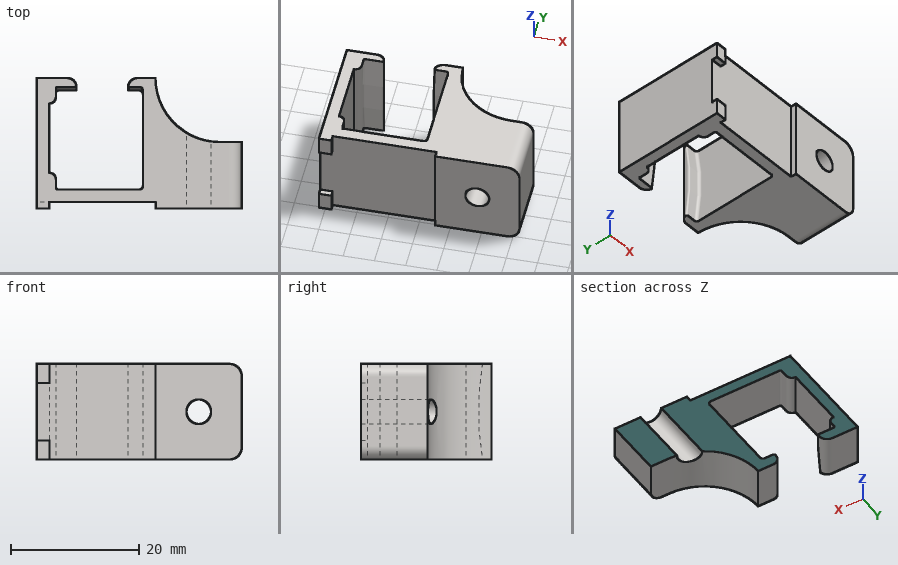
import cadquery as cq

LENGTH = 32.1
DEPTH = 20.41
HEIGHT = 15.0

WALL = 2.0
STEP_X = 18.6
CAVITY_LEFT = 3.05
CAVITY_RIGHT = STEP_X - WALL
CAVITY_FRONT = 3.0
LEFT_CORNER_RADIUS = 0.25
RIGHT_CORNER_RADIUS = 0.5

RECESS_FRONT = 5.6
RECESS_BACK = 16.4
RECESS_ROUND = CAVITY_LEFT - WALL

MOUTH_LEFT = 6.28
MOUTH_WIDTH = 8.0
MOUTH_RIGHT = MOUTH_LEFT + MOUTH_WIDTH
LIP_THICKNESS = 2.0
LIP_MIDDLE_Y = DEPTH - LIP_THICKNESS
LIP_END_Y = 19.0
LIP_OUTER_ROUND = 1.5
LIP_INNER_ROUND = 0.25
LIP_MIDDLE_BOTTOM = HEIGHT / 3
LIP_MIDDLE_TOP = HEIGHT - LIP_MIDDLE_BOTTOM

SWEEP_RADIUS = 10.0
BLOCK_DEPTH = DEPTH - SWEEP_RADIUS
BLOCK_CORNER_RADIUS = 2.0
HOLE_DIAMETER = 3.8
HOLE_X = (STEP_X + LENGTH) / 2

RELIEF_DEPTH = 1.0
FOOT_LENGTH = 2.0
FOOT_HEIGHT = 3.0


def box(x_range, y_range, z_range):
    """Axis-aligned box given by its limits."""
    sizes = [end - start for start, end in (x_range, y_range, z_range)]
    corner = (x_range[0], y_range[0], z_range[0])
    return cq.Workplane("XY").box(*sizes, centered=False).translate(corner)


def make_block():
    """Solid outline with the concave sweep down to the mounting block."""
    sweep_end_x = STEP_X + SWEEP_RADIUS
    block = (
        cq.Workplane("XY")
        .lineTo(LENGTH, 0)
        .lineTo(LENGTH, BLOCK_DEPTH)
        .lineTo(sweep_end_x, BLOCK_DEPTH)
        .radiusArc((STEP_X, DEPTH), SWEEP_RADIUS)
        .lineTo(0, DEPTH)
        .close()
        .extrude(HEIGHT)
    )
    return block.edges("|Y and >X").fillet(BLOCK_CORNER_RADIUS)


def cavity_outline(z, lip_y):
    """Closed cavity outline at height z, reaching back to lip_y."""
    left, right, front = CAVITY_LEFT, CAVITY_RIGHT, CAVITY_FRONT
    small, large = LEFT_CORNER_RADIUS, RIGHT_CORNER_RADIUS
    return (
        cq.Workplane("XY", origin=(0, 0, z))
        .moveTo(left + small, front)
        .lineTo(right - large, front)
        .radiusArc((right, front + large), -large)
        .lineTo(right, lip_y - large)
        .radiusArc((right - large, lip_y), -large)
        .lineTo(left + small, lip_y)
        .radiusArc((left, lip_y - small), -small)
        .lineTo(left, front + small)
        .radiusArc((left + small, front), -small)
        .close()
        .val()
    )


def make_cavity():
    """Straight middle length with a flared length above and below it."""
    stations = [
        (0, LIP_END_Y),
        (LIP_MIDDLE_BOTTOM, LIP_MIDDLE_Y),
        (LIP_MIDDLE_TOP, LIP_MIDDLE_Y),
        (HEIGHT, LIP_END_Y),
    ]
    outlines = [cavity_outline(z, lip_y) for z, lip_y in stations]
    return cq.Workplane(cq.Solid.makeLoft(outlines, True))


def make_recess():
    """Recess in the left wall, widening into the cavity with rounded shoulders."""
    return (
        cq.Workplane("XY")
        .moveTo(WALL, RECESS_FRONT)
        .radiusArc((CAVITY_LEFT, RECESS_FRONT - RECESS_ROUND), RECESS_ROUND)
        .lineTo(CAVITY_LEFT, RECESS_BACK + RECESS_ROUND)
        .radiusArc((WALL, RECESS_BACK), RECESS_ROUND)
        .close()
        .extrude(HEIGHT)
    )


def make_mouth():
    """Gap between the lips, flaring at the back along rounded edges."""
    straight_end = DEPTH - LIP_OUTER_ROUND
    middle_y = (CAVITY_FRONT + DEPTH) / 2
    return (
        cq.Workplane("XY")
        .moveTo(MOUTH_LEFT, middle_y)
        .lineTo(MOUTH_RIGHT, middle_y)
        .lineTo(MOUTH_RIGHT, straight_end)
        .radiusArc((MOUTH_RIGHT + LIP_OUTER_ROUND, DEPTH), LIP_OUTER_ROUND)
        .lineTo(MOUTH_LEFT - LIP_OUTER_ROUND, DEPTH)
        .radiusArc((MOUTH_LEFT, straight_end), LIP_OUTER_ROUND)
        .close()
        .extrude(HEIGHT)
    )


def round_lip_tips(body):
    """Round the inner edge of both lip tips along the full height."""
    slack = 0.1
    tip_edges = cq.selectors.BoxSelector(
        (MOUTH_LEFT - slack, LIP_MIDDLE_Y - slack, slack),
        (MOUTH_RIGHT + slack, LIP_END_Y, HEIGHT - slack),
    )
    return body.edges(tip_edges).edges("not(#Z)").fillet(LIP_INNER_ROUND)


def make_relief():
    """Shallow front relief, cutting away the foot over its middle height."""
    relief = box((FOOT_LENGTH, STEP_X), (0, RELIEF_DEPTH), (0, HEIGHT))
    foot_gap = box((0, FOOT_LENGTH), (0, RELIEF_DEPTH), (FOOT_HEIGHT, HEIGHT - FOOT_HEIGHT))
    return relief.union(foot_gap)


def make_hole():
    """Screw hole through the mounting block from front to back."""
    return (
        cq.Workplane("XZ")
        .center(HOLE_X, HEIGHT / 2)
        .circle(HOLE_DIAMETER / 2)
        .extrude(-DEPTH)
    )


clip = make_block().cut(make_cavity()).cut(make_recess()).cut(make_mouth())
clip = round_lip_tips(clip)
result = clip.cut(make_relief()).cut(make_hole())